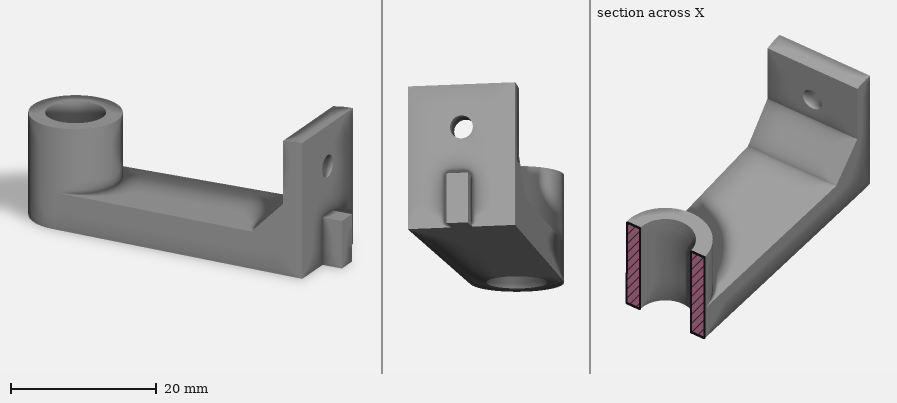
import cadquery as cq
import math

total_length = 48.5
total_height = 20.0
plate_width = 15.0

boss_diameter = 13.0
boss_radius = boss_diameter / 2
boss_height = 15.0
bore_diameter = 8.4

arm_thickness = 5.5
gusset_leg = 5.0
upright_thickness = 2.0
backing_thickness = 1.0
screw_hole_diameter = 3.2
screw_hole_height = 14.0

tab_length = 3.0
tab_width = 3.0
tab_height = 7.0

boss_front = -boss_radius
tab_end = boss_front + total_length
plate_back = tab_end - tab_length
backing_front = plate_back - backing_thickness
upright_front = backing_front - upright_thickness
gusset_start = upright_front - gusset_leg


def make_side_profile():
    """Arm, gusset and upright, with a top edge that aims at the front of the boss top."""
    top_slope = (total_height - boss_height) / (backing_front - boss_front)
    upright_front_height = total_height - top_slope * upright_thickness
    return (
        cq.Workplane("XZ")
        .moveTo(boss_front, 0)
        .lineTo(backing_front, 0)
        .lineTo(backing_front, total_height)
        .lineTo(upright_front, upright_front_height)
        .lineTo(upright_front, arm_thickness + gusset_leg)
        .lineTo(gusset_start, arm_thickness)
        .lineTo(boss_front, arm_thickness)
        .close()
        .extrude(plate_width / 2, both=True)
    )


def make_plan_outline():
    """Column whose straight sides run from the plate corners tangent to the boss."""
    half_width = plate_width / 2
    corner_distance = math.hypot(backing_front, half_width)
    tangent_angle = math.atan2(half_width, backing_front) + math.acos(boss_radius / corner_distance)
    tangent_x = boss_radius * math.cos(tangent_angle)
    tangent_y = boss_radius * math.sin(tangent_angle)
    return (
        cq.Workplane("XY")
        .moveTo(backing_front, -half_width)
        .lineTo(backing_front, half_width)
        .lineTo(tangent_x, tangent_y)
        .threePointArc((boss_front, 0), (tangent_x, -tangent_y))
        .close()
        .extrude(total_height)
    )


def make_block(start, end, width, height):
    """Block standing on the base plane, centred on Y, between two X positions."""
    return (
        cq.Workplane("XY")
        .box(end - start, width, height, centered=(False, True, False))
        .translate((start, 0, 0))
    )


arm = make_side_profile().intersect(make_plan_outline())
boss = cq.Workplane("XY").circle(boss_radius).extrude(boss_height)
backing = make_block(backing_front, plate_back, plate_width, total_height)
tab = make_block(plate_back, tab_end, tab_width, tab_height)

bore = cq.Workplane("XY").circle(bore_diameter / 2).extrude(boss_height)
screw_hole = (
    cq.Workplane("YZ", origin=(upright_front, 0, screw_hole_height))
    .circle(screw_hole_diameter / 2)
    .extrude(upright_thickness + backing_thickness)
)

result = arm.union(boss).union(backing).union(tab).cut(bore).cut(screw_hole)